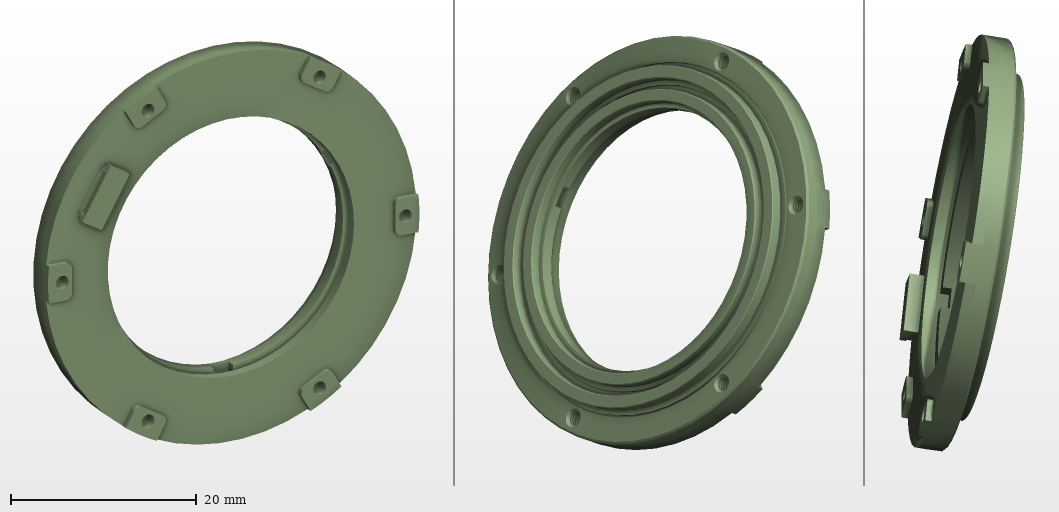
import cadquery as cq

flange_dia = 45
flange_bore_dia = 39.15
flange_front = 1.57
flange_back = 3.37
flange_chamfer = 0.22
lug_count = 6
lug_width = 4.3
lug_inner_radius = 19.6
lug_corner_radius = 0.7
lug_back = 5.25
hole_circle_radius = 20.8
hole_dia = 1.55
hole_mouth_dia = 2.05
hole_groove_dia = 2.0
hole_groove_width = 0.2
hole_groove_pitch = 0.4
hole_groove_count = 4

rear_ring_back = 4.6
rear_ring_bore_dia = 29.8

sleeve_dia = 37.8
sleeve_neck_dia = 37.4
sleeve_bore_dia = 35.0
sleeve_inner_dia = 34.0
sleeve_rim_back = 1.25
sleeve_neck_front = 1.4
sleeve_relief_dia = 38.7
sleeve_edge_chamfer = 0.1
relief_depth = 0.35

tube_front = 0.15
tube_dia = 32.6
tube_relief_dia = 33.6
tube_mouth_dia = 30.0
tube_edge_chamfer = 0.1
land_dia = 29.0
land_front = 1.35
land_back = 2.85
tube_groove_dia = 32.4

notch_count = 3
notch_first_angle = 30
notch_width = 2.35
notch_front = 1.85

block_angle = 150
block_length = 6.75
block_inner_radius = 17.1
block_width = 2.65
block_back = 6.2
block_base_back = 5.5
block_corner_cut = 0.3
window_length = 5.05
window_depth = 1.65
window_front = 4.7
window_back = 6.0
groove_length = 5.5
groove_front = 5.2
groove_back = 5.75


def disc(front, back, dia):
    """Solid disc on the X axis."""
    return cq.Workplane("YZ").workplane(offset=front).circle(dia / 2).extrude(back - front)


def radial_box(front, back, inner_radius, outer_radius, width):
    """Box that reaches from one radius to another along +Y."""
    size = (back - front, outer_radius - inner_radius, width)
    return cq.Workplane("XY").box(*size, centered=(False, False, True)).translate((front, inner_radius, 0))


def turned(shape, angle):
    """Shape turned about the X axis, from +Y towards +Z."""
    return shape.rotate((0, 0, 0), (1, 0, 0), angle)


def lug_angles():
    """Angles of the evenly spaced lugs, which are also those of the screw holes."""
    return [i * 360 / lug_count for i in range(lug_count)]


def make_lug():
    """Lug block along +Y, reaching past the flange rim."""
    lug = radial_box(flange_back, lug_back, lug_inner_radius, flange_dia / 2 + 0.45, lug_width)
    return lug.edges("|X and <Y").fillet(lug_corner_radius)


def make_screw_hole():
    """Cutter for one screw hole: chamfered mouth and a grooved wall."""
    mouth_depth = (hole_mouth_dia - hole_dia) / 2
    mouth_start = cq.Vector(flange_front, 0, 0)
    mouth = cq.Solid.makeCone(hole_mouth_dia / 2, hole_dia / 2, mouth_depth, mouth_start, cq.Vector(1, 0, 0))
    cutter = disc(flange_front, lug_back, hole_dia).union(cq.Workplane(mouth))
    for i in range(hole_groove_count):
        front = flange_front + hole_groove_pitch * (i + 1)
        cutter = cutter.union(disc(front, front + hole_groove_width, hole_groove_dia))
    return cutter.translate((0, hole_circle_radius, 0))


def make_flange():
    """Front plate with lugs: a full disc cut back everywhere except at the lugs."""
    flange = disc(flange_front, lug_back, flange_dia).faces("<X").chamfer(flange_chamfer)
    gaps = disc(flange_back, lug_back, flange_dia + 0.9)
    for angle in lug_angles():
        gaps = gaps.cut(turned(make_lug(), angle))
    flange = flange.cut(gaps).cut(disc(flange_front, flange_back, flange_bore_dia))
    for angle in lug_angles():
        flange = flange.cut(turned(make_screw_hole(), angle))
    return flange


def make_rear_ring():
    """Ring behind the flange, recessed at its rim for the lugs."""
    ring = disc(flange_back, rear_ring_back, flange_dia)
    ring = ring.cut(disc(flange_back, rear_ring_back, rear_ring_bore_dia))
    for angle in lug_angles():
        ring = ring.cut(turned(make_lug(), angle))
    return ring


def make_sleeve():
    """Stepped sleeve inside the flange: front rim, neck, and a collar reaching the flange bore."""
    seat = flange_front + relief_depth
    body = disc(seat, flange_back, flange_bore_dia)
    body = body.union(disc(flange_front, seat, sleeve_relief_dia))
    body = body.union(disc(sleeve_neck_front, flange_front, sleeve_neck_dia))
    body = body.cut(disc(sleeve_rim_back, flange_back, sleeve_inner_dia))
    rim = disc(0, sleeve_neck_front, sleeve_dia).faces(">X").chamfer(sleeve_neck_front - sleeve_rim_back)
    rim = rim.cut(disc(0, sleeve_rim_back, sleeve_bore_dia))
    rim = rim.cut(disc(sleeve_rim_back, sleeve_neck_front, sleeve_inner_dia))
    rim = rim.faces("<X").chamfer(sleeve_edge_chamfer)
    return rim.union(body)


def make_tube():
    """Inner tube seated in the sleeve, with a notched land and a groove behind it."""
    mouth = disc(tube_front, land_front, tube_mouth_dia)
    tube = disc(tube_front, sleeve_rim_back, tube_dia).cut(mouth).faces("<X").chamfer(tube_edge_chamfer)
    seat = sleeve_rim_back + relief_depth
    tube = tube.union(disc(sleeve_rim_back, seat, tube_relief_dia))
    tube = tube.union(disc(seat, flange_back, sleeve_inner_dia))
    tube = tube.cut(mouth)
    tube = tube.cut(disc(land_front, land_back, land_dia))
    tube = tube.cut(disc(land_back, flange_back, tube_groove_dia))
    for i in range(notch_count):
        notch = radial_box(notch_front, land_back, 0, tube_groove_dia / 2, notch_width)
        tube = tube.cut(turned(notch, notch_first_angle + i * 360 / notch_count))
    return tube


def make_block():
    """Lock block standing on the rear ring, with a window in its outward side."""
    outer = block_inner_radius + block_width
    block = radial_box(rear_ring_back, block_back, block_inner_radius, outer, block_length)
    corner = radial_box(rear_ring_back, block_base_back, outer - block_corner_cut, outer, block_corner_cut)
    for side in (-1, 1):
        block = block.cut(corner.translate((0, 0, side * (block_length - block_corner_cut) / 2)))
    floor = outer - window_depth
    block = block.cut(radial_box(window_front, window_back, floor, outer, window_length))
    block = block.cut(radial_box(groove_front, groove_back, floor, outer, groove_length))
    return turned(block, block_angle)


flange = make_flange()
rear_ring = make_rear_ring()
sleeve = make_sleeve()
tube = make_tube()
block = make_block()

result = cq.Compound.makeCompound([flange.val(), rear_ring.val(), sleeve.val(), tube.val(), block.val()])